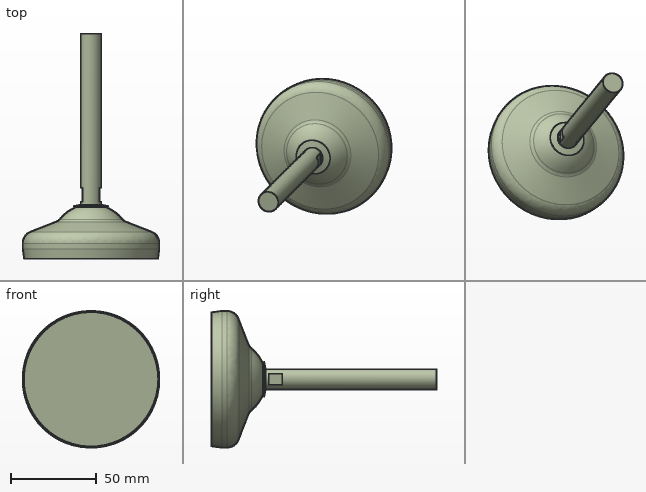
import cadquery as cq
import math


TOTAL_LENGTH = 131.5

PAD_RADIUS = 40.0
UNDERSIDE_RADIUS = 39.2
TAPER_HEIGHT = 6.0
RIM_CORNER_HEIGHT = 14.06
TOP_SLOPE = math.radians(21.4)
RIM_ROUNDING = 7.3
NECK_ROUNDING = 4.5

DOME_RADIUS = 23.5
DOME_CENTRE = 8.5

STEM_RADIUS = 6.0
FLANGE_SEAT_RADIUS = 9.3
FLANGE_RADIUS = 10.2
FLANGE_RIM_HEIGHT = 30.8
FLANGE_TOP_HEIGHT = 31.7
FLATS_WIDTH = 10.0
FLATS_START = 33.5
FLATS_LENGTH = 8.0


def dome_point(distance_from_axis):
    """Point (radius, height) on the dome."""
    height = DOME_CENTRE + math.sqrt(DOME_RADIUS**2 - distance_from_axis**2)
    return (distance_from_axis, height)


def revolve_about_axis(profile):
    return profile.close().revolve(360, (0, 0, 0), (0, 1, 0))


def neck_radius():
    """Distance from the axis at which the sloping top runs into the dome."""
    slope = math.tan(TOP_SLOPE)
    apex_above_centre = RIM_CORNER_HEIGHT + PAD_RADIUS * slope - DOME_CENTRE
    a = 1 + slope**2
    half_b = apex_above_centre * slope
    c = apex_above_centre**2 - DOME_RADIUS**2
    return (half_b + math.sqrt(half_b**2 - a * c)) / a


def round_edge(body, height, rounding):
    """Round the circular edge that lies at the given height."""
    tolerance = 0.01
    selector = cq.selectors.BoxSelector(
        (-PAD_RADIUS * 2, height - tolerance, -PAD_RADIUS * 2),
        (PAD_RADIUS * 2, height + tolerance, PAD_RADIUS * 2),
    )
    return body.edges(selector).fillet(rounding)


def make_pad():
    neck = dome_point(neck_radius())
    pad = revolve_about_axis(
        cq.Workplane("XY")
        .lineTo(UNDERSIDE_RADIUS, 0)
        .lineTo(PAD_RADIUS, TAPER_HEIGHT)
        .lineTo(PAD_RADIUS, RIM_CORNER_HEIGHT)
        .lineTo(*neck)
        .threePointArc(dome_point(neck[0] / 2), dome_point(0))
    )
    pad = round_edge(pad, RIM_CORNER_HEIGHT, RIM_ROUNDING)
    return round_edge(pad, neck[1], NECK_ROUNDING)


def make_stem():
    stem = revolve_about_axis(
        cq.Workplane("XY")
        .moveTo(*dome_point(0))
        .threePointArc(dome_point(FLANGE_SEAT_RADIUS / 2), dome_point(FLANGE_SEAT_RADIUS))
        .lineTo(FLANGE_RADIUS, FLANGE_RIM_HEIGHT)
        .lineTo(STEM_RADIUS, FLANGE_TOP_HEIGHT)
        .lineTo(STEM_RADIUS, TOTAL_LENGTH)
        .lineTo(0, TOTAL_LENGTH)
    )
    return cut_wrench_flats(stem)


def cut_wrench_flats(stem):
    for side in (-1, 1):
        cutter = cq.Workplane("XY").box(STEM_RADIUS, FLATS_LENGTH, 2 * STEM_RADIUS)
        offset = side * (FLATS_WIDTH + STEM_RADIUS) / 2
        stem = stem.cut(cutter.translate((offset, FLATS_START + FLATS_LENGTH / 2, 0)))
    return stem


pad = make_pad()
stem = make_stem()

result = cq.Compound.makeCompound([pad.val(), stem.val()])